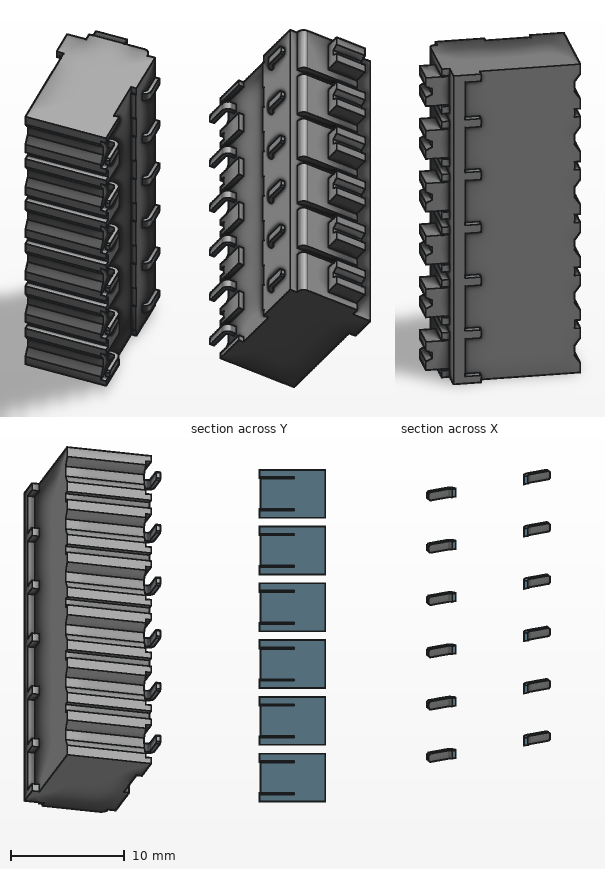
import cadquery as cq

pole_count = 6
length = 29.2
end_margin = 2.1
pole_pitch = (length - 2 * end_margin) / (pole_count - 1)
pole_centers = [end_margin - length / 2 + i * pole_pitch for i in range(pole_count)]
gap_centers = [z + pole_pitch / 2 for z in pole_centers[:-1]]
gap_width = 0.75

body_width = 7.68
shoulder_y = 11.5

head_left = 1.15
head_right = 6.95
head_back = 12.2
head_corner_radius = 0.58

flange_depth = 0.67
flange_front = 10.45
rib_front = 9.02
end_rib_width = 0.67

channel_depth = 0.5
channel_front = 3.05
channel_back = 7.12
channel_floor_x = body_width - channel_depth
pad_step = 0.12
pad_width = 2.83
pin_slot_width = 3.1

groove_depth = 0.53
groove_mouth = 2.4
groove_floor = 0.93

key_left = 1.23
key_right = 4.18
key_back = 13.6
key_width = 2.7
key_notch_depth = 0.55
key_notch_mouth = 1.05
key_notch_floor = 0.5
key_clearance = 0.12
key_clearance_back = 12.03

pin_thickness = 0.38
pin_width = 0.8
pin_outer_x = 8.32
pin_bend_radius = pin_outer_x - body_width
pin_tip_chamfer = 0.15
front_leg_y = 1.87
front_tip_y = -0.75
back_leg_y = 8.45
back_tip_y = 11.0


def block(x_range, y_range, z_center, z_width):
    """Box between X and Y limits, centred on z_center."""
    x0, x1 = x_range
    y0, y1 = y_range
    return (
        cq.Workplane("XY")
        .box(x1 - x0, y1 - y0, z_width, centered=(False, False, True))
        .translate((x0, y0, z_center))
    )


def tapered_groove(x_range, y_mouth, y_floor, mouth, floor, z_center):
    """Trapezoidal groove running along X."""
    x0, x1 = x_range
    outline = [
        (y_mouth, z_center - mouth / 2),
        (y_floor, z_center - floor / 2),
        (y_floor, z_center + floor / 2),
        (y_mouth, z_center + mouth / 2),
    ]
    return cq.Workplane("YZ", origin=(x0, 0, 0)).polyline(outline).close().extrude(x1 - x0)


def make_housing():
    body = block((0, body_width), (0, shoulder_y), 0, length)
    head = block((head_left, head_right), (shoulder_y, head_back), 0, length)
    head = head.edges("|Z and >X and >Y").fillet(head_corner_radius)
    channel = block((channel_floor_x, body_width), (channel_front, channel_back), 0, length)
    housing = body.union(head).cut(channel)

    for z in gap_centers:
        housing = housing.cut(block((0, body_width), (0, groove_depth), z, gap_width))
        housing = housing.cut(block((head_left, head_right), (shoulder_y, head_back), z, gap_width))
    return housing


def add_flange(housing):
    flange_x = (-flange_depth, 0)
    housing = housing.union(block(flange_x, (flange_front, shoulder_y), 0, length))
    for z in gap_centers:
        housing = housing.union(block(flange_x, (rib_front, flange_front), z, gap_width))
    end_rib_z = (length - end_rib_width) / 2
    for z in (-end_rib_z, end_rib_z):
        housing = housing.union(block(flange_x, (rib_front, flange_front), z, end_rib_width))
    return housing


def make_pin(leg_y, tip_y, z_center):
    """L-shaped pin: a leg along X with its outer edge at leg_y, then a bend to the tip at tip_y."""
    leg_length = pin_outer_x - channel_floor_x
    tip_length = abs(tip_y - leg_y)
    inner_radius = pin_bend_radius - pin_thickness
    pin = (
        cq.Workplane("XY")
        .polyline([
            (0, 0),
            (leg_length, 0),
            (leg_length, tip_length),
            (leg_length - pin_thickness, tip_length),
            (leg_length - pin_thickness, pin_thickness),
            (0, pin_thickness),
        ])
        .close()
        .extrude(pin_width / 2, both=True)
    )
    pin = pin.edges("|Z and >X and <Y").fillet(pin_bend_radius)
    inner_corner = cq.selectors.NearestToPointSelector((leg_length - pin_thickness, pin_thickness, 0))
    pin = pin.edges("|Z").edges(inner_corner).fillet(inner_radius)
    pin = pin.faces(">Y").edges("|X").chamfer(pin_tip_chamfer)
    if tip_y < leg_y:
        pin = pin.mirror("XZ")
    return pin.translate((channel_floor_x, leg_y, z_center))


def add_pole(housing, z):
    """Groove, pin slot, pad, key and pins of one pole."""
    housing = housing.cut(
        tapered_groove((0, body_width), 0, groove_depth, groove_mouth, groove_floor, z)
    )
    housing = housing.cut(block((channel_floor_x, body_width), (0, channel_front), z, pin_slot_width))
    pad_y = (channel_back - pad_step, channel_back)
    housing = housing.union(block((channel_floor_x, body_width), pad_y, z, pad_width))

    wide_width = key_width + 2 * key_clearance
    housing = housing.cut(block((head_left, key_right), (shoulder_y, head_back), z, key_width))
    housing = housing.cut(block((head_left, key_right), (shoulder_y, key_clearance_back), z, wide_width))
    key = block((key_left, key_right), (shoulder_y, key_back), z, key_width).cut(
        tapered_groove(
            (key_left, key_right), key_back, key_back - key_notch_depth,
            key_notch_mouth, key_notch_floor, z,
        )
    )
    housing = housing.union(key)
    housing = housing.union(make_pin(front_leg_y, front_tip_y, z))
    return housing.union(make_pin(back_leg_y, back_tip_y, z))


result = add_flange(make_housing())
for pole_z in pole_centers:
    result = add_pole(result, pole_z)